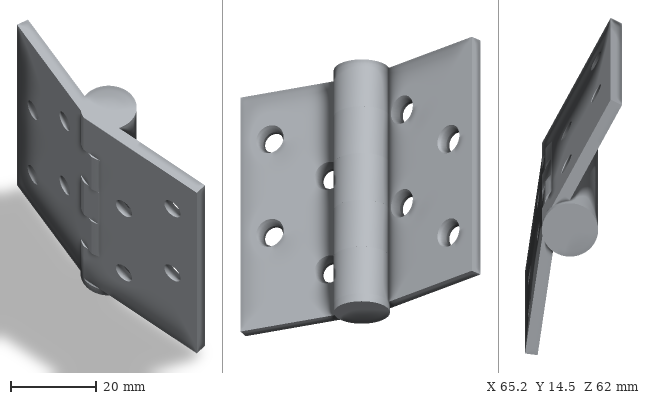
import cadquery as cq
import math

OVERALL_WIDTH = 65.2
LEAF_HEIGHT = 59.95
LEAF_THICKNESS = 3.0
FRONT_OFFSET = 6.1
BARREL_DIAMETER = 13.2
FOLD_ANGLE = 19.5
KNUCKLE_COUNT = 5
HOLE_DIAMETER = 5.0
NEAR_HOLE_X = 10.0
FAR_HOLE_X = 24.95
HOLE_STRAIGHT_DEPTH = 1.0
COUNTERSINK_DIAMETER = 7.05
MIDDLE_KNUCKLE_RISE = 0.1
CAP_HEIGHT = 2.0

barrel_radius = BARREL_DIAMETER / 2
fold = math.radians(FOLD_ANGLE)
leaf_length = (OVERALL_WIDTH - FRONT_OFFSET * math.sin(fold)) / (1 + math.cos(fold))
knuckle_height = LEAF_HEIGHT / KNUCKLE_COUNT
hole_pitch = knuckle_height
middle_knuckle = KNUCKLE_COUNT // 2
slab_center_y = LEAF_THICKNESS / 2 - FRONT_OFFSET

RIGHT_KNUCKLES = range(0, KNUCKLE_COUNT, 2)
LEFT_KNUCKLES = range(1, KNUCKLE_COUNT, 2)


def make_barrel_segment(index):
    """Barrel segment at one knuckle position, counted from the bottom."""
    return (
        cq.Workplane("XY")
        .workplane(offset=index * knuckle_height)
        .circle(barrel_radius)
        .extrude(knuckle_height)
    )


def make_knuckle(index):
    """Barrel segment with a flat along the front face of its leaf, slightly proud at the middle."""
    rise = MIDDLE_KNUCKLE_RISE if index == middle_knuckle else 0
    behind_front_face = (
        cq.Workplane("XY")
        .box(BARREL_DIAMETER, BARREL_DIAMETER, LEAF_HEIGHT, centered=(True, False, False))
        .translate((0, -FRONT_OFFSET - rise, 0))
    )
    return make_barrel_segment(index).intersect(behind_front_face)


def make_flat_leaf(own_knuckles, mating_knuckles, near_row, far_row):
    """Leaf along +X with its knuckles, clear of the knuckles of the other leaf."""
    leaf = (
        cq.Workplane("XY")
        .box(leaf_length, LEAF_THICKNESS, LEAF_HEIGHT, centered=(False, True, False))
        .translate((0, slab_center_y, 0))
    )
    for index in mating_knuckles:
        leaf = leaf.cut(make_barrel_segment(index))
    for index in own_knuckles:
        leaf = leaf.union(make_knuckle(index))
    return cut_screw_holes(leaf, near_row, far_row)


def make_hole_cutter(x, z):
    """Cutter for one countersunk hole, revolved about its axis and placed on the leaf."""
    front_radius = HOLE_DIAMETER / 2
    back_radius = COUNTERSINK_DIAMETER / 2
    front_y = -FRONT_OFFSET
    cone_start_y = front_y + HOLE_STRAIGHT_DEPTH
    back_y = front_y + LEAF_THICKNESS
    return (
        cq.Workplane("XY")
        .polyline([(0, front_y), (front_radius, front_y), (front_radius, cone_start_y),
                   (back_radius, back_y), (0, back_y)])
        .close()
        .revolve(360, (0, 0, 0), (0, 1, 0))
        .translate((x, 0, z))
    )


def cut_screw_holes(leaf, near_row, far_row):
    """Cut two columns of two holes; a row number is the height of the lowest hole in hole pitches."""
    for x, first_row in ((NEAR_HOLE_X, near_row), (FAR_HOLE_X, far_row)):
        for row in (first_row, first_row + 2):
            leaf = leaf.cut(make_hole_cutter(x, row * hole_pitch))
    return leaf


def make_right_leaf():
    return make_flat_leaf(RIGHT_KNUCKLES, LEFT_KNUCKLES, near_row=1, far_row=2)


def make_left_leaf():
    """Mirrored leaf, swung back about the hinge axis, with its holes staggered the other way."""
    leaf = make_flat_leaf(LEFT_KNUCKLES, RIGHT_KNUCKLES, near_row=2, far_row=1)
    return leaf.rotate((0, 0, 0), (0, 0, 1), FOLD_ANGLE).mirror("YZ")


def make_end_cap():
    """Round cap that closes the bottom of the barrel."""
    return cq.Workplane("XY").circle(barrel_radius).extrude(-CAP_HEIGHT)


right_leaf = make_right_leaf()
left_leaf = make_left_leaf()
end_cap = make_end_cap()

result = cq.Compound.makeCompound([right_leaf.val(), left_leaf.val(), end_cap.val()])